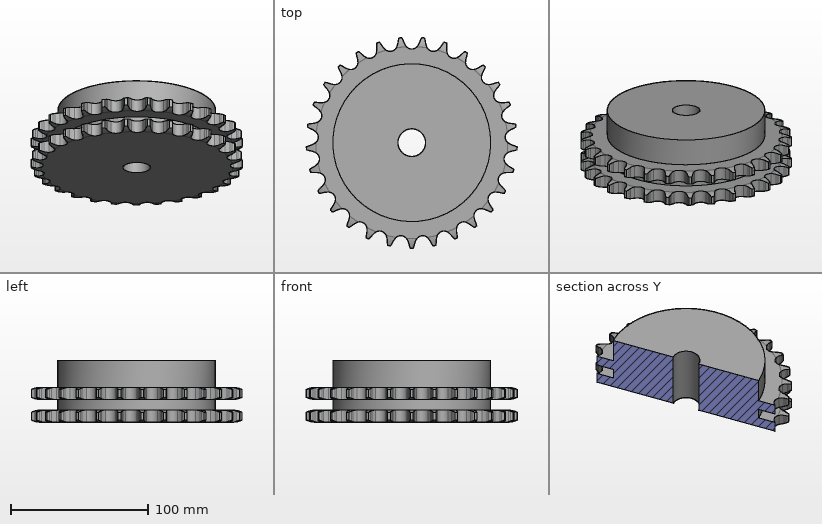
import cadquery as cq
import math

tooth_count = 29
pitch_diameter = 146.8
tip_diameter = 153.8
roller_diameter = 10.1

plate_width = 8.9
plate_spacing = 16.6
plate_count = 2
total_height = 45.0

relief_radius = 16.0
relief_start_diameter = 139.8

hub_diameter = 115.0
bore_diameter = 20

pitch_angle = 360 / tooth_count
pitch_radius = pitch_diameter / 2
tip_radius = tip_diameter / 2
relief_start_radius = relief_start_diameter / 2

seat_clearance = 0.038
seat_radius = roller_diameter / 2 + seat_clearance
working_offset = 0.8 * roller_diameter
working_radius = seat_radius + working_offset
topping_offset = 1.4 * roller_diameter
seat_end_angle = 35 + 60 / tooth_count
working_sweep = 18 - 56 / tooth_count
straight_angle = seat_end_angle - working_sweep
topping_angle = math.radians(17 - 64 / tooth_count)
sweep = math.radians(working_sweep)
straight_length = topping_offset * math.sin(topping_angle) - working_offset * math.sin(sweep)
topping_radius = (
    topping_offset * math.cos(topping_angle) + working_offset * math.cos(sweep) - working_radius
)
topping_end_angle = 55


def relief_depth(radius):
    """Axial distance by which each tooth side has fallen back at a given radius."""
    reach = radius - relief_start_radius
    return relief_radius - math.sqrt(relief_radius**2 - reach**2)


def toothless_plate():
    """Disc whose rim narrows along an arc on both sides."""
    middle_radius = (relief_start_radius + tip_radius) / 2
    tip_depth = relief_depth(tip_radius)
    middle_depth = relief_depth(middle_radius)
    half_section = (
        cq.Workplane("XZ")
        .lineTo(relief_start_radius, 0)
        .threePointArc((middle_radius, middle_depth), (tip_radius, tip_depth))
        .lineTo(tip_radius, plate_width - tip_depth)
        .threePointArc((middle_radius, plate_width - middle_depth), (relief_start_radius, plate_width))
        .lineTo(0, plate_width)
        .close()
    )
    return half_section.revolve(360, (0, 0, 0), (0, 1, 0))


def polar(center, radius, degrees):
    """Point on a circle, at an angle measured from +X towards +Y."""
    angle = math.radians(degrees)
    return (center[0] + radius * math.cos(angle), center[1] + radius * math.sin(angle))


def mirrored(point):
    return (-point[0], point[1])


def tooth_gap():
    """Cutter for the gap on the +Y axis: a roller seat opening out along the two tooth flanks."""
    seat_center = (0, pitch_radius)
    working_center = polar(seat_center, working_offset, 180 - seat_end_angle)
    seat_bottom = polar(seat_center, seat_radius, -90)
    seat_end = polar(seat_center, seat_radius, -seat_end_angle)
    working_middle = polar(working_center, working_radius, -(seat_end_angle + straight_angle) / 2)
    working_end = polar(working_center, working_radius, -straight_angle)
    topping_start = polar(working_end, straight_length, 90 - straight_angle)
    topping_center = polar(topping_start, topping_radius, -straight_angle)
    topping_middle = polar(topping_center, topping_radius, 180 - (straight_angle + topping_end_angle) / 2)
    topping_end = polar(topping_center, topping_radius, 180 - topping_end_angle)
    return (
        cq.Workplane("XY")
        .moveTo(*mirrored(topping_end))
        .threePointArc(mirrored(topping_middle), mirrored(topping_start))
        .lineTo(*mirrored(working_end))
        .threePointArc(mirrored(working_middle), mirrored(seat_end))
        .threePointArc(seat_bottom, seat_end)
        .threePointArc(working_middle, working_end)
        .lineTo(*topping_start)
        .threePointArc(topping_middle, topping_end)
        .close()
        .extrude(plate_width)
    )


def tooth_plate():
    """One row of teeth, standing on Z = 0."""
    plate = toothless_plate()
    gap = tooth_gap()
    for index in range(tooth_count):
        plate = plate.cut(gap.rotate((0, 0, 0), (0, 0, 1), index * pitch_angle))
    return plate


result = cq.Workplane("XY").circle(hub_diameter / 2).extrude(total_height)
plate = tooth_plate()
for level in range(plate_count):
    result = result.union(plate.translate((0, 0, level * plate_spacing)))

bore = cq.Workplane("XY").circle(bore_diameter / 2).extrude(total_height)
result = result.cut(bore)